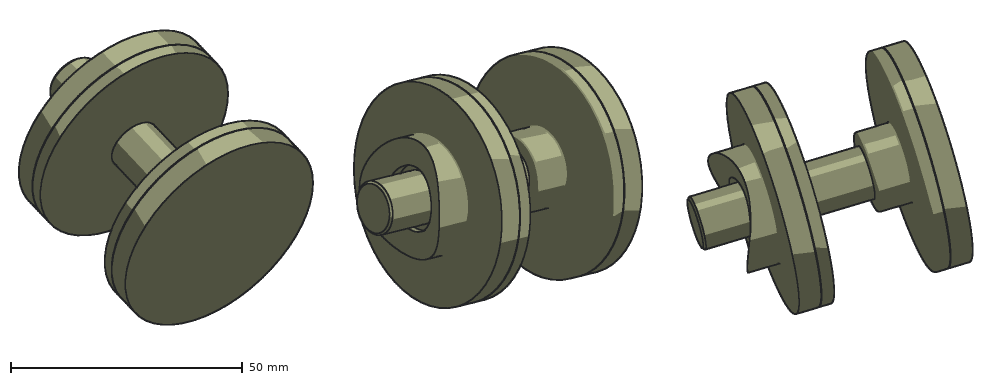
import cadquery as cq
total_length = 55.0
thick_disc = 5.0
thin_disc = 2.85
disc_gap = 0.15
disc_radius = 50.0 / 2

clamp_disc_start = 15.4
boss_tip = 7.35
counterbore_floor = 13.0
gasket_start = clamp_disc_start + thick_disc + disc_gap
end_disc_start = total_length - thick_disc
flange_start = end_disc_start - disc_gap - thin_disc
collar_length = 8.0

rod_radius = 6.0
collar_radius = 9.0
boss_radius = 13.5
counterbore_radius = 7.35
saddle_radius = 25.0

rod_end_chamfer = 0.5
flange_round = 0.5
root_fillet = 0.45


def cylinder(start, length, radius):
    """A solid cylinder about the X axis."""
    return cq.Workplane("YZ", origin=(start, 0, 0)).circle(radius).extrude(length)


def make_rod():
    """A rod with a chamfered free end, seated against the end disc."""
    return cylinder(0, end_disc_start, rod_radius).faces("<X").chamfer(rod_end_chamfer)


def make_clamp():
    """A disc and boss with a rod hole and counterbore, the boss end cut to a vertical saddle."""
    disc = cylinder(clamp_disc_start, thick_disc, disc_radius)
    boss = cylinder(boss_tip, clamp_disc_start - boss_tip, boss_radius)
    body = disc.union(boss)
    boss_edges = body.edges("%CIRCLE").edges(cq.selectors.RadiusNthSelector(0))
    body = boss_edges.edges(">X").fillet(root_fillet)
    saddle_axis = boss_tip - (saddle_radius**2 - boss_radius**2) ** 0.5
    saddle = (
        cq.Workplane("XY", origin=(saddle_axis, 0, 0))
        .circle(saddle_radius)
        .extrude(disc_radius, both=True)
    )
    counterbore = cylinder(boss_tip, counterbore_floor - boss_tip, counterbore_radius)
    rod_hole = cylinder(boss_tip, gasket_start - boss_tip, rod_radius)
    return body.cut(saddle).cut(counterbore).cut(rod_hole)


def make_gasket():
    """A thin ring a small gap behind the clamp, fitted closely on the rod."""
    ring = cylinder(gasket_start, thin_disc, disc_radius)
    return ring.cut(cylinder(gasket_start, thin_disc, rod_radius))


def make_flange():
    """A thin disc with a collar around the rod."""
    collar_start = flange_start - collar_length
    flange_length = collar_length + thin_disc
    disc = cylinder(flange_start, thin_disc, disc_radius)
    collar = cylinder(collar_start, collar_length, collar_radius)
    body = disc.union(collar).edges("%CIRCLE and (not >X)").fillet(flange_round)
    return body.cut(cylinder(collar_start, flange_length, rod_radius))


def make_end_disc():
    """A plain thick disc closing the assembly."""
    return cylinder(end_disc_start, thick_disc, disc_radius)


rod = make_rod()
clamp = make_clamp()
gasket = make_gasket()
flange = make_flange()
end_disc = make_end_disc()

result = cq.Compound.makeCompound(
    [rod.val(), clamp.val(), gasket.val(), flange.val(), end_disc.val()]
)